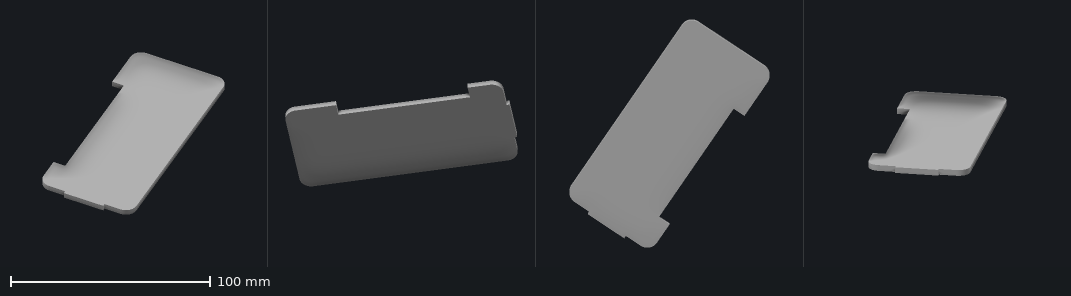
import cadquery as cq

overall_length = 112.5
plate_width = 51.9
plate_thickness = 3.0
corner_radius = 6.0

tab_projection = 1.5
tab_width = 22.0
tab_left_offset = 14.9

notch_depth = 6.5
notch_length = 67.1
notch_top_offset = 26.8

plate_length = overall_length - tab_projection


def box_from_corner(x, y, width, length):
    """Full-thickness block with its lower left corner at (x, y, 0)."""
    block = cq.Workplane("XY").box(width, length, plate_thickness, centered=False)
    return block.translate((x, y, 0))


plate = box_from_corner(0, tab_projection, plate_width, plate_length)
plate = plate.edges("|Z").fillet(corner_radius)

tab = box_from_corner(tab_left_offset, 0, tab_width, 2 * tab_projection)

notch_bottom = overall_length - notch_top_offset - notch_length
notch = box_from_corner(0, notch_bottom, notch_depth, notch_length)

result = plate.union(tab).cut(notch)